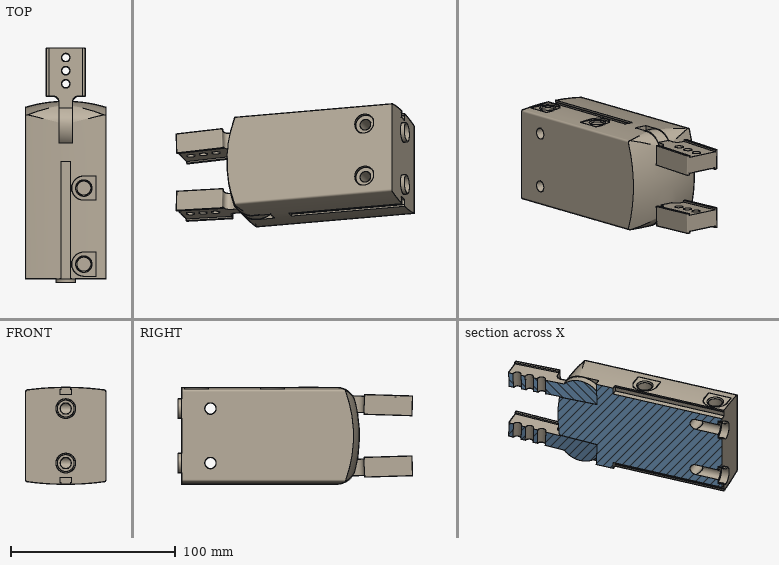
import cadquery as cq
import math

WIDTH = 49.0
LENGTH = 142.6
HEIGHT = 59.0
HALF_WIDTH = WIDTH / 2
HALF_HEIGHT = HEIGHT / 2
EPS = 1.4

CROWN_DROP = 1.7
EDGE_RADIUS = 1.3
NOSE_TIP_Y = 108.1
NOSE_SPHERE_RADIUS = 82.7
NOSE_ROUND_RADIUS = 12.1

GROOVE_LENGTH = 71.5
GROOVE_WIDTH = 6.7
GROOVE_MOUTH_WIDTH = 5.7
GROOVE_FLOOR_Z = 25.2
GROOVE_LIP_Z = 28.2

PORT_X = 11.0
PORT_YS = (9.0, 55.2)
PORT_DIAMETER = 8.5
PORT_DEPTH = 11.4
PORT_CHAMFER = 0.7
PORT_PAD_Z = 28.5
PORT_PAD_SIZE = 14.7

MOUNT_Z = 16.5
MOUNT_HOLE_DIAMETER = 6.7
SIDE_HOLE_Y = 17.5
SLEEVE_DIAMETER = 12.0
SLEEVE_WALL = 0.9
SLEEVE_SEAT_DEPTH = 2.5
SLEEVE_PROTRUSION = 2.3

PIVOT_Y = 93.0
PIVOT_Z = 15.0
TILT = 1.7
HUMP_RADIUS = 14.3
NECK_WIDTH = 8.3
NECK_BACK_U = -10.7
NECK_INNER_W = -0.4
NECK_OUTER_W = 9.7
NECK_FILLET = 3.5
PAD_START_U = 17.8
PAD_WIDTH = 23.8
PAD_CORNER_RADIUS = 0.4
RIDGE_WIDTH = 1.7
RIDGE_HEIGHT = 1.0
FINGER_HOLE_DIAMETER = 5.0
FINGER_HOLE_START_U = 25.4
FINGER_HOLE_PITCH = 8.0
FINGER_HOLE_COUNT = 3

PAD_INNER_W = NECK_INNER_W - RIDGE_HEIGHT
PAD_OUTER_W = NECK_OUTER_W + RIDGE_HEIGHT
TIP_Y = LENGTH - SLEEVE_PROTRUSION
TIP_LEAD = PAD_OUTER_W * math.sin(math.radians(TILT))
PAD_END_U = (TIP_Y - PIVOT_Y - TIP_LEAD) / math.cos(math.radians(TILT))


def box(x_range, y_range, z_range):
    """Axis-aligned block between the given limits."""
    size = [high - low for low, high in (x_range, y_range, z_range)]
    corner = (x_range[0], y_range[0], z_range[0])
    return cq.Workplane(cq.Solid.makeBox(*size, cq.Vector(*corner)))


def rod(diameter, length, start, direction):
    """Cylinder that runs from a start point along a direction."""
    return cq.Workplane(
        cq.Solid.makeCylinder(diameter / 2, length, cq.Vector(*start), cq.Vector(*direction))
    )


def place_finger(shape):
    """Move a shape from the pivot frame to its tilted place in the upper half."""
    tilted = shape.rotate((0, 0, 0), (1, 0, 0), -TILT)
    return tilted.translate((0, PIVOT_Y, PIVOT_Z))


def crowned_prism():
    """Rectangular bar with arched top and bottom and rounded long edges."""
    side_z = HALF_HEIGHT - CROWN_DROP
    section = (
        cq.Workplane("XZ")
        .moveTo(-HALF_WIDTH, -side_z)
        .lineTo(-HALF_WIDTH, side_z)
        .threePointArc((0, HALF_HEIGHT), (HALF_WIDTH, side_z))
        .lineTo(HALF_WIDTH, -side_z)
        .threePointArc((0, -HALF_HEIGHT), (-HALF_WIDTH, -side_z))
        .close()
    )
    return section.extrude(-NOSE_TIP_Y).edges("|Y").fillet(EDGE_RADIUS)


def nose_sphere():
    """Large ball whose front end forms the nose."""
    center_y = NOSE_TIP_Y - NOSE_SPHERE_RADIUS
    return cq.Workplane("XY").sphere(NOSE_SPHERE_RADIUS).translate((0, center_y, 0))


def nose_corner_cutter():
    """Bar along X that rounds the upper nose corner, tangent to crown and sphere at X = 0."""
    sphere_y = NOSE_TIP_Y - NOSE_SPHERE_RADIUS
    round_z = HALF_HEIGHT - NOSE_ROUND_RADIUS
    reach = NOSE_SPHERE_RADIUS - NOSE_ROUND_RADIUS
    angle = math.asin(round_z / reach)
    round_y = sphere_y + reach * math.cos(angle)

    def on_round(direction):
        return (
            round_y + NOSE_ROUND_RADIUS * math.cos(direction),
            round_z + NOSE_ROUND_RADIUS * math.sin(direction),
        )

    touch = on_round(angle)
    middle = on_round((angle + math.pi / 2) / 2)
    outer_y = NOSE_TIP_Y + EPS
    tangent_z = touch[1] - (outer_y - touch[0]) / math.tan(angle)
    return (
        cq.Workplane("YZ")
        .moveTo(round_y, HALF_HEIGHT)
        .threePointArc(middle, touch)
        .lineTo(outer_y, tangent_z)
        .lineTo(outer_y, HALF_HEIGHT + EPS)
        .lineTo(round_y, HALF_HEIGHT + EPS)
        .close()
        .extrude(HALF_WIDTH + EPS, both=True)
    )


def sensor_groove():
    """Upper T-shaped groove, open at the rear face."""
    y_range = (-EPS, GROOVE_LENGTH)
    wide = GROOVE_WIDTH / 2
    mouth = GROOVE_MOUTH_WIDTH / 2
    channel = box((-wide, wide), y_range, (GROOVE_FLOOR_Z, GROOVE_LIP_Z))
    opening = box((-mouth, mouth), y_range, (GROOVE_FLOOR_Z, HALF_HEIGHT + EPS))
    return channel.union(opening)


def air_port(y):
    """Blind port with a chamfered mouth in a flat pad that is round on its inner side."""
    half = PORT_PAD_SIZE / 2
    top = HALF_HEIGHT + EPS
    pad = rod(PORT_PAD_SIZE, top - PORT_PAD_Z, (PORT_X, y, PORT_PAD_Z), (0, 0, 1))
    pad = pad.union(box((PORT_X, PORT_X + half), (y - half, y + half), (PORT_PAD_Z, top)))
    bore = rod(PORT_DIAMETER, PORT_DEPTH, (PORT_X, y, PORT_PAD_Z), (0, 0, -1))
    mouth = cq.Workplane(
        cq.Solid.makeCone(
            PORT_DIAMETER / 2 + PORT_CHAMFER,
            PORT_DIAMETER / 2,
            PORT_CHAMFER,
            cq.Vector(PORT_X, y, PORT_PAD_Z),
            cq.Vector(0, 0, -1),
        )
    )
    return pad.union(bore).union(mouth)


def mounting_holes(z):
    """Cross hole with a sleeve seat on the -X side, met by a rear hole with its own seat."""
    side_start = (-HALF_WIDTH, SIDE_HOLE_Y, z)
    rear_start = (0, 0, z)
    cross_hole = rod(MOUNT_HOLE_DIAMETER, WIDTH, side_start, (1, 0, 0))
    side_seat = rod(SLEEVE_DIAMETER, SLEEVE_SEAT_DEPTH, side_start, (1, 0, 0))
    rear_hole = rod(MOUNT_HOLE_DIAMETER, SIDE_HOLE_Y, rear_start, (0, 1, 0))
    rear_seat = rod(SLEEVE_DIAMETER, SLEEVE_SEAT_DEPTH, rear_start, (0, 1, 0))
    return cross_hole.union(side_seat).union(rear_hole).union(rear_seat)


def finger_slot():
    """Slot that takes the neck of the upper finger, open to the crown and the nose."""
    half = NECK_WIDTH / 2
    slot = box((-half, half), (NECK_BACK_U, PAD_START_U), (NECK_INNER_W, HALF_HEIGHT))
    return place_finger(slot)


def make_housing():
    body = crowned_prism().intersect(nose_sphere())
    for cutter in (nose_corner_cutter(), sensor_groove(), finger_slot()):
        body = body.cut(cutter).cut(cutter.mirror("XY"))
    for y in PORT_YS:
        body = body.cut(air_port(y))
    for z in (MOUNT_Z, -MOUNT_Z):
        body = body.cut(mounting_holes(z))
    return body


def make_sleeve(z):
    """Thin centring sleeve seated in the rear face, its free rim fully rounded."""
    outer_radius = SLEEVE_DIAMETER / 2
    bore_radius = outer_radius - SLEEVE_WALL
    rim_radius = SLEEVE_WALL / 2
    rim_y = rim_radius - SLEEVE_PROTRUSION
    wall_section = (
        cq.Workplane("XY")
        .moveTo(bore_radius, SLEEVE_SEAT_DEPTH)
        .lineTo(outer_radius, SLEEVE_SEAT_DEPTH)
        .lineTo(outer_radius, rim_y)
        .threePointArc((bore_radius + rim_radius, -SLEEVE_PROTRUSION), (bore_radius, rim_y))
        .close()
    )
    return wall_section.revolve(360, (0, 0, 0), (0, 1, 0)).translate((0, 0, z))


def finger_neck():
    """Flat neck with the round back of the finger, in the pivot frame."""
    arc_front_u = math.sqrt(HUMP_RADIUS**2 - NECK_OUTER_W**2)
    arc_back_w = math.sqrt(HUMP_RADIUS**2 - NECK_BACK_U**2)
    return (
        cq.Workplane("YZ")
        .moveTo(NECK_BACK_U, NECK_INNER_W)
        .lineTo(NECK_BACK_U, arc_back_w)
        .threePointArc((0, HUMP_RADIUS), (arc_front_u, NECK_OUTER_W))
        .lineTo(PAD_START_U + EPS, NECK_OUTER_W)
        .lineTo(PAD_START_U + EPS, NECK_INNER_W)
        .close()
        .extrude(NECK_WIDTH / 2, both=True)
    )


def finger_pad():
    """Wide gripping pad with a ridge along each side, inside and outside."""
    half = PAD_WIDTH / 2
    u_range = (PAD_START_U, PAD_END_U)
    pad = box((-half, half), u_range, (PAD_INNER_W, PAD_OUTER_W))
    pad = pad.edges("|Z").fillet(PAD_CORNER_RADIUS)
    channel = half - RIDGE_WIDTH
    channel_u = (PAD_START_U - EPS, PAD_END_U + EPS)
    pad = pad.cut(box((-channel, channel), channel_u, (NECK_OUTER_W, PAD_OUTER_W + EPS)))
    return pad.cut(box((-channel, channel), channel_u, (PAD_INNER_W - EPS, NECK_INNER_W)))


def make_upper_finger():
    finger = finger_neck().union(finger_pad())
    inside_corner = cq.selectors.BoxSelector(
        (-NECK_WIDTH, PAD_START_U - EPS, NECK_INNER_W - EPS),
        (NECK_WIDTH, PAD_START_U + EPS / 2, NECK_OUTER_W + EPS),
    )
    finger = finger.edges("|Z").edges(inside_corner).fillet(NECK_FILLET)
    height = NECK_OUTER_W - NECK_INNER_W
    for index in range(FINGER_HOLE_COUNT):
        u = FINGER_HOLE_START_U + index * FINGER_HOLE_PITCH
        finger = finger.cut(rod(FINGER_HOLE_DIAMETER, height, (0, u, NECK_INNER_W), (0, 0, 1)))
    return place_finger(finger)


housing = make_housing()
sleeves = [make_sleeve(z) for z in (MOUNT_Z, -MOUNT_Z)]
upper_finger = make_upper_finger()
fingers = [upper_finger, upper_finger.mirror("XY")]

result = cq.Compound.makeCompound([body.val() for body in [housing, *sleeves, *fingers]])